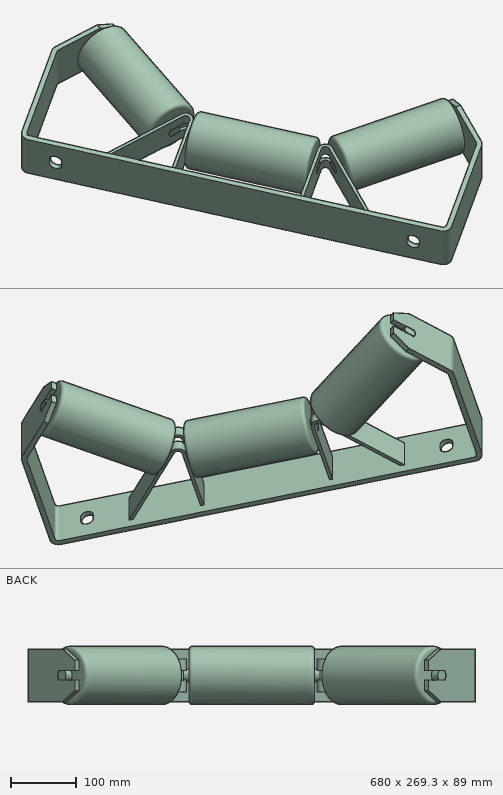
import cadquery as cq
import math

frame_length = 680.0
frame_height = 80.0
frame_thickness = 8.0
frame_bend_radius = 13.5
wall_end = 179.0
arm_length = 105.5
arm_taper_length = 28.5
arm_tip_width = 46.0
tilt = 40.0

mount_slot_spacing = 566.0
mount_slot_width = 20.0
mount_slot_length = 28.0

bracket_height = 50.0
bracket_thickness = 5.0
bracket_bend_radius = 11.5
bracket_bend_start = 117.0

roller_diameter = 89.0
roller_length = 191.0
roller_edge_radius = 5.5
shaft_diameter = 20.0
shaft_flat_height = 14.0
centre_axis_y = 100.5
outer_axis_drop = 16.0
centre_gap = 3.5
outer_gap = 4.0
shaft_overhang = 1.0

tilt_angle = math.radians(tilt)
axis_direction = cq.Vector(-math.cos(tilt_angle), math.sin(tilt_angle))
arm_direction = cq.Vector(math.sin(tilt_angle), math.cos(tilt_angle))

leg_face_x = -(roller_length / 2 + centre_gap)
bracket_bend_centre = cq.Vector(leg_face_x - bracket_bend_radius, bracket_bend_start)
bracket_bend_end = bracket_bend_centre + axis_direction * bracket_bend_radius

bracket_slot_point = bracket_bend_end - arm_direction * outer_axis_drop
outer_roller_centre = bracket_slot_point + axis_direction * (roller_length / 2 + outer_gap)

corner_centre = cq.Vector(frame_bend_radius - frame_length / 2, frame_bend_radius)
arm_bend_centre = cq.Vector(corner_centre.x, wall_end)
arm_start = arm_bend_centre + axis_direction * frame_bend_radius
arm_tip = arm_start + arm_direction * arm_length
arm_face_distance = (arm_start - outer_roller_centre).dot(axis_direction) - frame_thickness
arm_slot_point = outer_roller_centre + axis_direction * arm_face_distance


def polar(centre, radius, degrees):
    """Point in the XY plane at a radius and angle from a centre."""
    angle = math.radians(degrees)
    return (centre.x + radius * math.cos(angle), centre.y + radius * math.sin(angle))


def extrude_centred(outline, height):
    return outline.close().extrude(height / 2, both=True)


def mirrored(body):
    return body.mirror("YZ")


def shaft_slot(depth, length):
    """Open slot for a flatted shaft: sunk along -X from the origin, open towards +Y."""
    seat = (
        cq.Workplane("YZ")
        .circle(shaft_diameter / 2)
        .extrude(-depth)
        .intersect(cq.Workplane("XY").box(2 * depth, shaft_diameter, shaft_flat_height))
    )
    channel = cq.Workplane("XY").box(
        depth, length, shaft_flat_height, centered=(False, False, True)
    ).translate((-depth, 0, 0))
    return seat.union(channel)


def place_tilted(body, position):
    return body.rotate((0, 0, 0), (0, 0, 1), -tilt).translate(position)


def make_half_frame():
    inner_radius = frame_bend_radius - frame_thickness
    arm_angle = 180 - tilt
    inner_tip = arm_tip - axis_direction * frame_thickness
    outline = (
        cq.Workplane("XY")
        .lineTo(corner_centre.x, 0)
        .threePointArc(polar(corner_centre, frame_bend_radius, 225),
                       polar(corner_centre, frame_bend_radius, 180))
        .lineTo(-frame_length / 2, wall_end)
        .threePointArc(polar(arm_bend_centre, frame_bend_radius, 180 - tilt / 2),
                       polar(arm_bend_centre, frame_bend_radius, arm_angle))
        .lineTo(arm_tip.x, arm_tip.y)
        .lineTo(inner_tip.x, inner_tip.y)
        .lineTo(*polar(arm_bend_centre, inner_radius, arm_angle))
        .threePointArc(polar(arm_bend_centre, inner_radius, 180 - tilt / 2),
                       polar(arm_bend_centre, inner_radius, 180))
        .lineTo(frame_thickness - frame_length / 2, corner_centre.y)
        .threePointArc(polar(corner_centre, inner_radius, 225),
                       polar(corner_centre, inner_radius, 270))
        .lineTo(0, frame_thickness)
    )
    half = extrude_centred(outline, frame_height)

    taper = (
        cq.Workplane("YZ")
        .moveTo(-arm_taper_length, frame_height / 2)
        .lineTo(0, arm_tip_width / 2)
        .lineTo(0, frame_height / 2)
        .close()
        .extrude(frame_thickness)
    )
    for corner in (taper, taper.mirror("XY")):
        half = half.cut(place_tilted(corner, arm_tip))

    half = half.cut(place_tilted(shaft_slot(frame_thickness, arm_length), arm_slot_point))

    mount_slot = (
        cq.Workplane("XZ", origin=(-mount_slot_spacing / 2, 0, 0))
        .slot2D(mount_slot_length, mount_slot_width, 90)
        .extrude(-frame_thickness)
    )
    return half.cut(mount_slot)


def make_frame():
    half = make_half_frame()
    return half.union(mirrored(half))


def make_left_bracket():
    inner_radius = bracket_bend_radius - bracket_thickness
    leg_angle = 180 - tilt
    leg_length = (bracket_bend_end.y - frame_thickness) / arm_direction.y
    foot = bracket_bend_end - arm_direction * leg_length
    foot_width = bracket_thickness / arm_direction.y
    outline = (
        cq.Workplane("XY")
        .moveTo(leg_face_x, frame_thickness)
        .lineTo(leg_face_x, bracket_bend_start)
        .threePointArc(polar(bracket_bend_centre, bracket_bend_radius, leg_angle / 2),
                       polar(bracket_bend_centre, bracket_bend_radius, leg_angle))
        .lineTo(foot.x, foot.y)
        .lineTo(foot.x + foot_width, foot.y)
        .lineTo(*polar(bracket_bend_centre, inner_radius, leg_angle))
        .threePointArc(polar(bracket_bend_centre, inner_radius, leg_angle / 2),
                       polar(bracket_bend_centre, inner_radius, 0))
        .lineTo(leg_face_x - bracket_thickness, frame_thickness)
    )
    bracket = extrude_centred(outline, bracket_height)

    slot_length = outer_axis_drop + bracket_bend_radius
    slot = shaft_slot(bracket_bend_radius, slot_length)
    bracket = bracket.cut(slot.translate((leg_face_x, centre_axis_y, 0)))
    return bracket.cut(place_tilted(slot.mirror("YZ"), bracket_slot_point))


def make_roller(left_neck, left_end, right_neck, right_end):
    """Roller on the X axis; each shaft side is round to its neck, then flatted to its end."""
    drum = (
        cq.Workplane("YZ", origin=(-roller_length / 2, 0, 0))
        .circle(roller_diameter / 2)
        .extrude(roller_length)
        .edges("%CIRCLE")
        .fillet(roller_edge_radius)
    )
    neck_length = left_neck + right_neck
    neck = cq.Workplane("YZ", origin=(-left_neck, 0, 0)).circle(shaft_diameter / 2).extrude(neck_length)
    shaft_length = left_end + right_end
    flats = cq.Workplane("XY").box(2 * shaft_length, shaft_diameter, shaft_flat_height)
    shaft = (
        cq.Workplane("YZ", origin=(-left_end, 0, 0))
        .circle(shaft_diameter / 2)
        .extrude(shaft_length)
        .intersect(flats)
    )
    return drum.union(neck).union(shaft)


def make_centre_roller():
    neck = -leg_face_x
    end = neck + bracket_thickness
    return make_roller(neck, end, neck, end).translate((0, centre_axis_y, 0))


def make_left_roller():
    arm_end = arm_face_distance + frame_thickness + shaft_overhang
    bracket_neck = roller_length / 2 + outer_gap
    bracket_end = bracket_neck + bracket_thickness + shaft_overhang
    roller = make_roller(arm_face_distance, arm_end, bracket_neck, bracket_end)
    return place_tilted(roller, outer_roller_centre)


frame = make_frame()
brackets = []
rollers = [make_centre_roller()]
for on_right in (False, True):
    bracket = make_left_bracket()
    roller = make_left_roller()
    brackets.append(mirrored(bracket) if on_right else bracket)
    rollers.append(mirrored(roller) if on_right else roller)

result = cq.Compound.makeCompound(
    [body.solids().val() for body in (frame, *brackets, *rollers)]
)